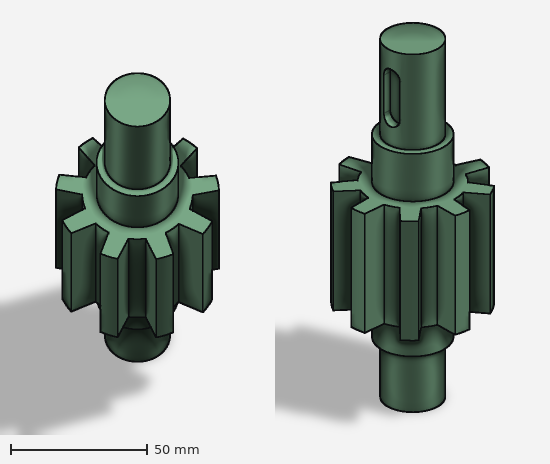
import cadquery as cq
import math

total_length = 150.0
journal_diameter = 24.0
collar_diameter = 30.0
lower_journal_length = 25.0
lower_collar_length = 15.0
gear_width = 50.0
upper_collar_length = 20.0

lower_collar_z = lower_journal_length
gear_z = lower_collar_z + lower_collar_length
upper_collar_z = gear_z + gear_width
upper_journal_z = upper_collar_z + upper_collar_length

tooth_count = 9
tip_radius = 30.0
root_radius = 20.2
tip_tooth_width = 6.8
root_tooth_width = 7.8
tooth_pitch = 2 * math.pi / tooth_count

key_width = 8.0
key_length = 24.0
key_depth = 4.0
key_center_z = (upper_journal_z + total_length) / 2


def polar_point(radius, angle):
    return (radius * math.cos(angle), radius * math.sin(angle))


def cylinder(diameter, start_z, end_z):
    return cq.Workplane("XY").workplane(offset=start_z).circle(diameter / 2).extrude(end_z - start_z)


def make_gear():
    tip_half_angle = math.asin(tip_tooth_width / 2 / tip_radius)
    root_half_angle = math.asin(root_tooth_width / 2 / root_radius)
    first_angle = math.pi / 2
    outline = cq.Workplane("XY").workplane(offset=gear_z)
    outline = outline.moveTo(*polar_point(root_radius, first_angle - root_half_angle))
    for tooth in range(tooth_count):
        middle = first_angle + tooth * tooth_pitch
        next_root_start = middle + tooth_pitch - root_half_angle
        outline = (
            outline.lineTo(*polar_point(tip_radius, middle - tip_half_angle))
            .threePointArc(
                polar_point(tip_radius, middle),
                polar_point(tip_radius, middle + tip_half_angle),
            )
            .lineTo(*polar_point(root_radius, middle + root_half_angle))
            .threePointArc(
                polar_point(root_radius, middle + tooth_pitch / 2),
                polar_point(root_radius, next_root_start),
            )
        )
    return outline.close().extrude(gear_width)


def make_keyway():
    journal_radius = journal_diameter / 2
    return (
        cq.Workplane("XZ", origin=(0, journal_radius - key_depth, key_center_z))
        .slot2D(key_length, key_width, 90)
        .extrude(-journal_radius)
    )


journal = cylinder(journal_diameter, 0, total_length)
collar = cylinder(collar_diameter, lower_collar_z, upper_journal_z)
result = journal.union(collar).union(make_gear()).cut(make_keyway())